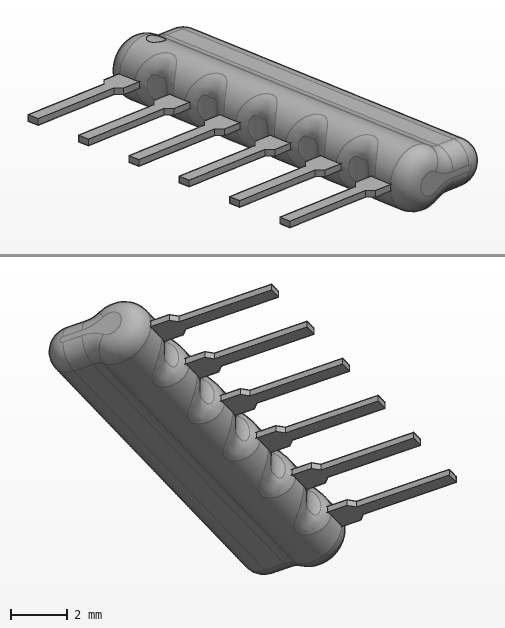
import cadquery as cq
import math

LENGTH = 15.19
BEAD_R = 1.25
SLAB_HALF = 0.9
SLAB_BACK_Y = 1.93
BLEND_R = 0.79
EDGE_FILLET = 0.77

LEAD_COUNT = 6
LEAD_PITCH = 2.54
LEAD_THICKNESS = 0.26
LEAD_WIDE = 1.0
LEAD_NARROW = 0.5
LEAD_TIP_Y = -6.06
SHOULDER_Y = -2.0
LEAD_ROOT_Y = 0.0
LEAD_TAPER = (LEAD_WIDE - LEAD_NARROW) / 2
NECK_Y = SHOULDER_Y - LEAD_TAPER

SCALLOP_R = 0.82
SCALLOP_FLOOR_Y = -0.91

MARK_DIAMETER = 0.7
MARK_Y = 0.12
MARK_DEPTH = 0.15

FIRST_LEAD_X = -LEAD_PITCH * (LEAD_COUNT - 1) / 2
LEAD_XS = [FIRST_LEAD_X + i * LEAD_PITCH for i in range(LEAD_COUNT)]
SCALLOP_XS = [x + LEAD_PITCH / 2 for x in LEAD_XS[:-1]]


def blend_middle(blend_y, blend_z):
    """Point halfway along the blend arc, between the slab tangency and the bead tangency."""
    angle = (math.radians(-90) + math.atan2(-blend_z, -blend_y)) / 2
    return blend_y + BLEND_R * math.cos(angle), blend_z + BLEND_R * math.sin(angle)


def make_bar():
    """Extrude the bead-and-slab section along X and round both ends."""
    blend_z = SLAB_HALF + BLEND_R
    blend_y = math.sqrt((BEAD_R + BLEND_R) ** 2 - blend_z ** 2)
    bead_share = BEAD_R / (BEAD_R + BLEND_R)
    bead_y = blend_y * bead_share
    bead_z = blend_z * bead_share
    middle_y, middle_z = blend_middle(blend_y, blend_z)
    bar = (
        cq.Workplane("YZ", origin=(-LENGTH / 2, 0, 0))
        .moveTo(bead_y, bead_z)
        .threePointArc((-BEAD_R, 0), (bead_y, -bead_z))
        .threePointArc((middle_y, -middle_z), (blend_y, -SLAB_HALF))
        .lineTo(SLAB_BACK_Y, -SLAB_HALF)
        .threePointArc((SLAB_BACK_Y + SLAB_HALF, 0), (SLAB_BACK_Y, SLAB_HALF))
        .lineTo(blend_y, SLAB_HALF)
        .threePointArc((middle_y, middle_z), (bead_y, bead_z))
        .close()
        .extrude(LENGTH)
    )
    return bar.faces("<X or >X").edges().fillet(EDGE_FILLET)


def cut_scallop(bar, x):
    """Cut one upright round scallop in the front of the bead and round its rim."""
    cutter = (
        cq.Workplane("XY", origin=(x, SCALLOP_FLOOR_Y - SCALLOP_R, 0))
        .circle(SCALLOP_R)
        .extrude(BEAD_R, both=True)
    )
    rim = cq.selectors.BoxSelector(
        (x - SCALLOP_R, -2 * BEAD_R, -BEAD_R),
        (x + SCALLOP_R, SCALLOP_FLOOR_Y / 2, BEAD_R),
    )
    return bar.cut(cutter).edges(rim).fillet(EDGE_FILLET)


def make_lead(x):
    """Flat lead, wide at the root and narrowing at a shoulder."""
    wide = LEAD_WIDE / 2
    narrow = LEAD_NARROW / 2
    outline = [
        (-wide, LEAD_ROOT_Y),
        (-wide, SHOULDER_Y),
        (-narrow, NECK_Y),
        (-narrow, LEAD_TIP_Y),
        (narrow, LEAD_TIP_Y),
        (narrow, NECK_Y),
        (wide, SHOULDER_Y),
        (wide, LEAD_ROOT_Y),
    ]
    return (
        cq.Workplane("XY", origin=(x, 0, -LEAD_THICKNESS / 2))
        .polyline(outline)
        .close()
        .extrude(LEAD_THICKNESS)
    )


def make_mark(bar):
    """Round mark whose top follows the bead surface."""
    plug = (
        cq.Workplane("XY", origin=(FIRST_LEAD_X, MARK_Y, BEAD_R - MARK_DEPTH))
        .circle(MARK_DIAMETER / 2)
        .extrude(2 * MARK_DEPTH)
    )
    return plug.intersect(bar)


housing = make_bar()
for scallop_x in SCALLOP_XS:
    housing = cut_scallop(housing, scallop_x)

leads = [make_lead(x) for x in LEAD_XS]
mark = make_mark(housing)

for insert in [mark, *leads]:
    housing = housing.cut(insert)

result = cq.Compound.makeCompound([housing.val(), *[lead.val() for lead in leads], mark.val()])